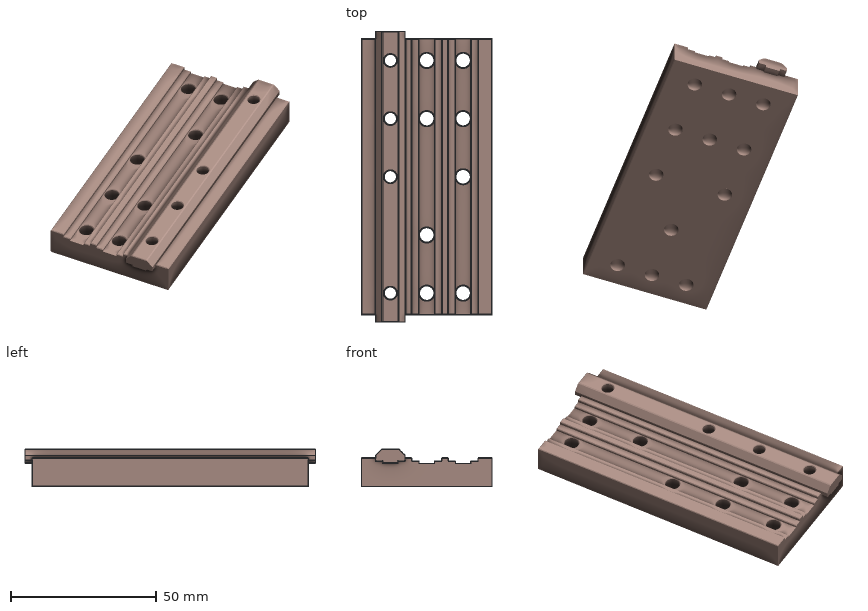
import cadquery as cq

plate_width = 45.0
plate_length = 95.0
plate_height = 10.0
edge_chamfer = 0.25

groove_pitch = 12.5
groove_width = 10.2
groove_depth = 1.1
channel_width = 5.2
channel_depth = 2.0
rail_x = -groove_pitch

rail_width = groove_width
rail_length = 100.0
rail_top = 13.0
crown_width = 5.7
bevel = (rail_width - crown_width) / 2
key_width = channel_width

hole_spacing = 20.0
hole_rows = {
    rail_x: (-2, 0, 1, 2),
    0.0: (-2, -1, 1, 2),
    groove_pitch: (-2, 0, 1, 2),
}
plate_hole_diameter = 5.0
rail_hole_diameter = 4.2
hole_chamfer = 0.25

groove_floor = plate_height - groove_depth
channel_floor = plate_height - channel_depth
height_tolerance = 0.01


def bar(x, width, length, bottom, top):
    """Box centred on x and on the Y axis, between two heights."""
    return cq.Workplane("XY", origin=(x, 0, bottom)).rect(width, length).extrude(top - bottom)


def edges_at_height(body, z):
    """Edges lying in the horizontal plane at height z."""
    low_corner = (-rail_length, -rail_length, z - height_tolerance)
    high_corner = (rail_length, rail_length, z + height_tolerance)
    return body.edges(cq.selectors.BoxSelector(low_corner, high_corner))


def hole_cutter(x, row, diameter, bottom, top):
    """Drill from top to bottom with a countersunk mouth at the top."""
    y = row * hole_spacing
    drill = cq.Workplane("XY", origin=(x, y, bottom)).circle(diameter / 2).extrude(top - bottom)
    mouth = cq.Workplane(
        cq.Solid.makeCone(
            diameter / 2,
            diameter / 2 + hole_chamfer,
            hole_chamfer,
            pnt=cq.Vector(x, y, top - hole_chamfer),
        )
    )
    return drill.union(mouth)


def make_plate():
    plate = bar(0, plate_width, plate_length, 0, plate_height)
    plate = plate.edges("|Y and <Z").chamfer(edge_chamfer)
    for x in hole_rows:
        plate = plate.cut(bar(x, groove_width, plate_length, groove_floor, plate_height))
        plate = plate.cut(bar(x, channel_width, plate_length, channel_floor, groove_floor))
    plate = plate.faces(">Z").chamfer(edge_chamfer)

    step_edges = edges_at_height(plate, groove_floor)
    step_ends = step_edges.edges("|X").vals()
    midstep = (channel_width + groove_width) / 4
    lips = [
        edge
        for edge in step_edges.edges("|Y").vals()
        if any(abs(edge.Center().x - x) < midstep for x in hole_rows)
    ]
    plate = plate.newObject(step_ends + lips).chamfer(edge_chamfer)

    for x, rows in hole_rows.items():
        for row in rows:
            plate = plate.cut(hole_cutter(x, row, plate_hole_diameter, 0, channel_floor))
    return plate


def make_rail():
    rail = bar(rail_x, rail_width, rail_length, groove_floor, rail_top)
    rail = rail.edges("|Y and >Z").chamfer(bevel)
    rail = rail.edges("|Y and <Z").chamfer(edge_chamfer)
    rail = rail.union(bar(rail_x, key_width, rail_length, channel_floor, groove_floor))
    rail = rail.faces("<Z or >Z").chamfer(edge_chamfer)
    for row in hole_rows[rail_x]:
        rail = rail.cut(hole_cutter(rail_x, row, rail_hole_diameter, channel_floor, rail_top))
    return rail


plate = make_plate()
rail = make_rail()
result = cq.Compound.makeCompound([plate.val(), rail.val()])